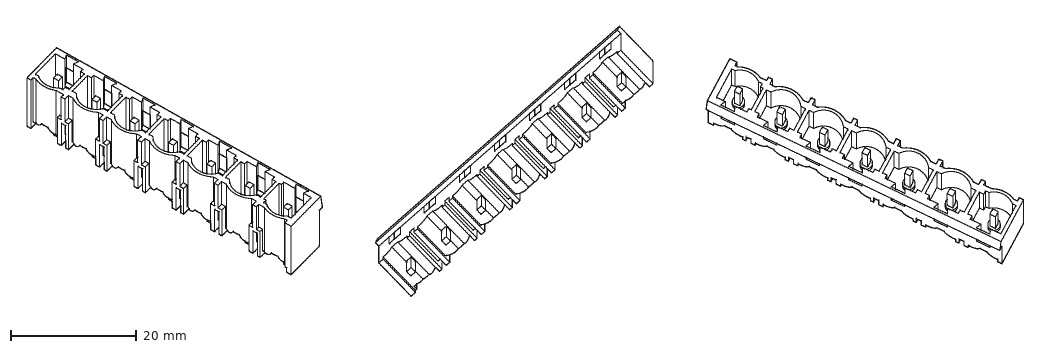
import cadquery as cq
import math


LENGTH = 52.5
HEIGHT = 11.8
BACK_Y = 7.6
LIP_TOP_Y = 7.95
LIP_TIP_Y = 8.4
LIP_HEIGHT = 3.15
LEFT_LEG = 0.8
RIGHT_LEG = 1.25

CELL_COUNT = 7
PITCH = 7.6
FIRST_PIN_X = 3.35
PIN_Y = 3.8
LAST_CELL_SHIFT = -0.3
PIN_XS = [FIRST_PIN_X + i * PITCH for i in range(CELL_COUNT)]
CELL_XS = PIN_XS[:-1] + [PIN_XS[-1] + LAST_CELL_SHIFT]
JOINT_XS = [x + PITCH / 2 for x in PIN_XS[:-1]]

WALL_Y = 0.95
END_WALL_Y = 0.65
BULGE_Y = 0.15
BULGE_RADIUS = 4.4

FLOOR_Z = 3.95
DIVIDER = 0.65
CORE_HALF_WIDTH = 2.75
CORE_BACK_Y = 6.8
SIDE_FRONT_Y = 2.05
SIDE_BACK_Y = 6.15
END_CORE_FRONT_Y = 1.4
CAVITY_FRONT_Y = 0.65
CAVITY_RADIUS = 3.2
KEYWAY_BACK_WIDTH = 2.4
KEYWAY_FRONT_WIDTH = 1.7
KEYWAY_FLOOR_Z = 5.25

WEB_WIDTH = 0.75
BLOCK_WIDTH = 2.25
BLOCK_TOP_Z = 6.3
SLOT_WIDTH = 0.9
SLOT_SHIFT = 0.1
SLOT_TOP_Z = 5.45

BOTTOM_Z = 1.05
ARCH_TOP_Z = 2.3
ARCH_TOP_HALF_WIDTH = 0.65
ARCH_FOOT_HALF_WIDTH = 2.1
ARCH_RADIUS = 1.9
CHANNEL_TOP_Z = 2.0
RIGHT_FOOT = 0.95

PIN_WIDTH = 1.0
PIN_TOP_Z = HEIGHT - 1.1
PIN_BOTTOM_Z = -3.15
COLLAR_RADIUS = 1.0
COLLAR_HEIGHT = 1.05


def block(x0, x1, y0, y1, z0, z1):
    """Axis-aligned box between two opposite corners."""
    return cq.Workplane("XY").box(x1 - x0, y1 - y0, z1 - z0, centered=False).translate((x0, y0, z0))


def centred_block(x, width, y0, y1, z0, z1):
    """Axis-aligned box centred on x."""
    return block(x - width / 2, x + width / 2, y0, y1, z0, z1)


def round_front(x, front_y, back_y, radius, z0):
    """Circular segment from its frontmost point back to a straight chord, up to the housing top."""
    depth = back_y - front_y
    half_chord = math.sqrt(depth * (2 * radius - depth))
    return (
        cq.Workplane("XY", origin=(x, 0, z0))
        .moveTo(-half_chord, back_y)
        .threePointArc((0, front_y), (half_chord, back_y))
        .close()
        .extrude(HEIGHT - z0)
    )


def main_block():
    """Long body with the sloped latch lip along the top of its back."""
    lip_z = HEIGHT - LIP_HEIGHT
    profile = [
        (WALL_Y, 0),
        (BACK_Y, 0),
        (BACK_Y, lip_z),
        (LIP_TIP_Y, lip_z),
        (LIP_TOP_Y, HEIGHT),
        (WALL_Y, HEIGHT),
    ]
    return cq.Workplane("YZ").polyline(profile).close().extrude(LENGTH)


def add_front_wall(body):
    """Thicker end walls, the end legs and one rounded bulge per cell."""
    body = body.union(block(0, JOINT_XS[0], END_WALL_Y, WALL_Y, 0, HEIGHT))
    body = body.union(block(JOINT_XS[-1], LENGTH, END_WALL_Y, WALL_Y, 0, HEIGHT))
    body = body.union(block(0, LEFT_LEG, 0, WALL_Y, 0, HEIGHT))
    body = body.union(block(LENGTH - RIGHT_LEG, LENGTH, 0, WALL_Y, 0, HEIGHT))
    for x in CELL_XS:
        body = body.union(round_front(x, BULGE_Y, WALL_Y, BULGE_RADIUS, 0))
    return body


def add_joint_ribs(body):
    """Between neighbouring cells: a thin full-height web standing on a wider block."""
    for x in JOINT_XS:
        body = body.union(centred_block(x, WEB_WIDTH, 0, WALL_Y, 0, HEIGHT))
        body = body.union(centred_block(x, BLOCK_WIDTH, 0, WALL_Y, 0, BLOCK_TOP_Z))
    return body


def cavity(index):
    """Open-topped cavity: a deep core, shallower sides towards the neighbours and a round front."""
    x = CELL_XS[index]
    is_first = index == 0
    is_last = index == CELL_COUNT - 1
    core_front_y = END_CORE_FRONT_Y if is_first or is_last else SIDE_FRONT_Y
    core = centred_block(x, 2 * CORE_HALF_WIDTH, core_front_y, CORE_BACK_Y, FLOOR_Z, HEIGHT)
    left = x - CORE_HALF_WIDTH if is_first else JOINT_XS[index - 1] + DIVIDER / 2
    right = x + CORE_HALF_WIDTH if is_last else JOINT_XS[index] - DIVIDER / 2
    sides = block(left, right, SIDE_FRONT_Y, SIDE_BACK_Y, FLOOR_Z, HEIGHT)
    front = round_front(x, CAVITY_FRONT_Y, SIDE_FRONT_Y, CAVITY_RADIUS, FLOOR_Z)
    return core.union(sides).union(front)


def keyway(x):
    """Tapered slot behind a cavity, widest at the back."""
    half_back = KEYWAY_BACK_WIDTH / 2
    half_front = KEYWAY_FRONT_WIDTH / 2
    profile = [
        (x - half_back, BACK_Y),
        (x - half_front, CORE_BACK_Y),
        (x + half_front, CORE_BACK_Y),
        (x + half_back, BACK_Y),
    ]
    return (
        cq.Workplane("XY", origin=(0, 0, KEYWAY_FLOOR_Z))
        .polyline(profile)
        .close()
        .extrude(HEIGHT - KEYWAY_FLOOR_Z)
    )


def cut_cavities(body):
    """One cavity per cell, each with a keyway that opens through the back below the lip."""
    for index, pin_x in enumerate(PIN_XS):
        body = body.cut(cavity(index))
        body = body.cut(keyway(pin_x))
    return body


def arch(x):
    """Flared passage under one cell, running from front to back."""
    return (
        cq.Workplane("XZ", origin=(x, 0, 0))
        .moveTo(-ARCH_FOOT_HALF_WIDTH, BOTTOM_Z)
        .radiusArc((-ARCH_TOP_HALF_WIDTH, ARCH_TOP_Z), -ARCH_RADIUS)
        .lineTo(ARCH_TOP_HALF_WIDTH, ARCH_TOP_Z)
        .radiusArc((ARCH_FOOT_HALF_WIDTH, BOTTOM_Z), -ARCH_RADIUS)
        .close()
        .extrude(-BACK_Y)
    )


def cut_underside(body):
    """Clear the bottom between the feet, arch it over the pins and split the feet at each joint."""
    feet_left = [x - BLOCK_WIDTH / 2 for x in JOINT_XS] + [LENGTH - RIGHT_FOOT]
    feet_right = [LEFT_LEG] + [x + BLOCK_WIDTH / 2 for x in JOINT_XS]
    for x, start, end in zip(PIN_XS, feet_right, feet_left):
        body = body.cut(block(start, end, 0, BACK_Y, 0, BOTTOM_Z))
        body = body.cut(arch(x))
    for joint_x in JOINT_XS:
        x = joint_x + SLOT_SHIFT
        body = body.cut(centred_block(x, SLOT_WIDTH, 0, WALL_Y, 0, SLOT_TOP_Z))
        body = body.cut(centred_block(x, SLOT_WIDTH, 0, BACK_Y, 0, CHANNEL_TOP_Z))
    return body


def make_pin(x):
    """Straight square pin."""
    return centred_block(x, PIN_WIDTH, PIN_Y - PIN_WIDTH / 2, PIN_Y + PIN_WIDTH / 2, PIN_BOTTOM_Z, PIN_TOP_Z)


def fit_pins(body):
    """Round collar on each cavity floor and a matching square hole for each pin."""
    for x in PIN_XS:
        collar = cq.Workplane("XY", origin=(x, PIN_Y, FLOOR_Z)).circle(COLLAR_RADIUS).extrude(COLLAR_HEIGHT)
        body = body.union(collar).cut(make_pin(x))
    return body


def make_housing():
    body = main_block()
    body = add_front_wall(body)
    body = add_joint_ribs(body)
    body = cut_cavities(body)
    body = cut_underside(body)
    return fit_pins(body)


housing = make_housing()
pins = [make_pin(x) for x in PIN_XS]

result = cq.Compound.makeCompound([housing.val(), *[pin.val() for pin in pins]])